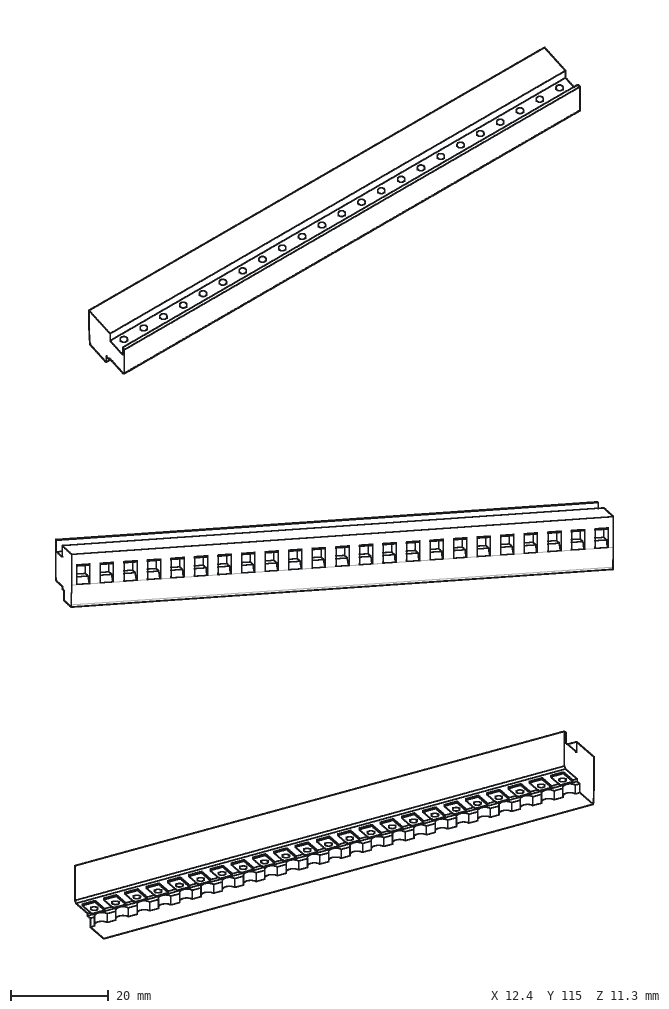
import cadquery as cq
import math

length = 115.0
width = 12.4
height = 11.3
pole_count = 23
pitch = length / pole_count
pole_positions = [(i - (pole_count - 1) / 2) * pitch for i in range(pole_count)]

crease_z = 4.8
draft = 0.2
base_chamfer_x = 0.1
base_chamfer_z = 0.6
foot_x = 6.0
ledge_x = 7.1
ledge_z = 2.1
underside_z = 2.6
back_chamfer = 0.5
groove_left_x = 7.4
groove_floor_z = 8.9
back_wall = 0.7

window_width = 2.8
window_bottom_z = crease_z
window_top_z = 9.0
window_depth = 3.5
sill_z = 6.1
lead_in_radius = sill_z - window_bottom_z
lintel_chamfer = 0.3

hole_diameter = 1.5
hole_x = 8.7

rib_radius = 1.5
rib_center_x = ledge_x - rib_radius
pad_end_x = 11.0
pad_thickness = 0.3
pad_width = 2 * rib_radius


def at_poles(shape):
    """Copy a shape modelled at Y = 0 to every pole."""
    copies = [shape.val().translate(cq.Vector(0, y, 0)) for y in pole_positions]
    return cq.Workplane(cq.Compound.makeCompound(copies))


def make_body():
    return (
        cq.Workplane("XZ")
        .moveTo(0, height)
        .lineTo(groove_left_x, height)
        .lineTo(groove_left_x, groove_floor_z)
        .lineTo(width - back_wall, groove_floor_z)
        .lineTo(width - back_wall, height)
        .lineTo(width, height)
        .lineTo(width, underside_z + back_chamfer)
        .lineTo(width - back_chamfer, underside_z)
        .lineTo(ledge_x, underside_z)
        .lineTo(ledge_x, ledge_z)
        .lineTo(foot_x, ledge_z)
        .lineTo(foot_x, 0)
        .lineTo(draft + base_chamfer_x, 0)
        .lineTo(draft, base_chamfer_z)
        .lineTo(0, crease_z)
        .close()
        .extrude(length / 2, both=True)
    )


def make_window():
    """Pocket with a concave lead-in at the bottom and a chamfered lintel."""
    arc_mid = lead_in_radius * math.sqrt(0.5)
    lintel_z = window_top_z - lintel_chamfer
    return (
        cq.Workplane("XZ")
        .moveTo(0, window_bottom_z)
        .threePointArc((arc_mid, sill_z - arc_mid), (lead_in_radius, sill_z))
        .lineTo(window_depth, sill_z)
        .lineTo(window_depth, lintel_z)
        .lineTo(lintel_chamfer, lintel_z)
        .lineTo(0, window_top_z)
        .close()
        .extrude(window_width / 2, both=True)
    )


def make_rib():
    """Round-nosed rib on the back of the foot, reaching up to the ledge."""
    return cq.Workplane("XY").center(rib_center_x, 0).circle(rib_radius).extrude(ledge_z)


def make_pad():
    """Thin rectangular pad under the body, behind the ledge."""
    return cq.Workplane("XY").box(
        pad_end_x - ledge_x, pad_width, pad_thickness, centered=(False, True, False)
    ).translate((ledge_x, 0, underside_z - pad_thickness))


def make_hole():
    """Screwdriver hole through the full height."""
    return cq.Workplane("XY").center(hole_x, 0).circle(hole_diameter / 2).extrude(height)


result = (
    make_body()
    .union(at_poles(make_rib()))
    .union(at_poles(make_pad()))
    .cut(at_poles(make_window()))
    .cut(at_poles(make_hole()))
)